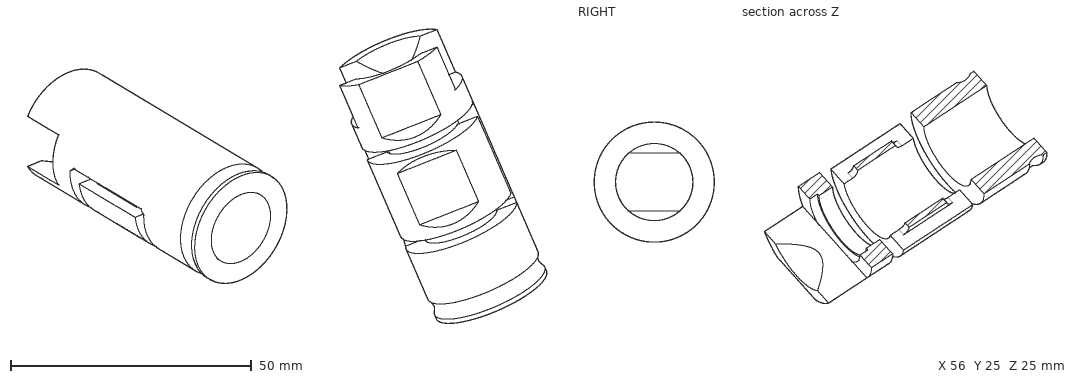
import cadquery as cq
import math

length = 56.0
outer_radius = 12.5
bore_radius = 8.0
counterbore_radius = 8.5
counterbore_depth = 2.0
overcut = 0.55

mouth_depth = 10.0
mouth_height = 12.0
taper_radius = 9.35
taper_half_angle = 30.0

groove_start = 51.4
groove_end = 55.0
groove_depth = 0.6

window_start = 15.6
window_end = 39.5
window_top = 1.4
window_corner_chamfer = 1.0
gap = 2.85
tongue_start = window_start + gap
tongue_end = window_end - gap
tongue_top = window_top - gap
web_start = 22.2
web_end = 32.15
web_half_width = 9.45

flat_level = -10.6
ramp_run = outer_radius + flat_level
front_flat_end = 12.55
tongue_flat_start = 20.95
tongue_flat_end = 33.05


def cylinder(radius, start, end):
    """Solid cylinder on the X axis."""
    return cq.Workplane("YZ", origin=(start, 0, 0)).circle(radius).extrude(end - start)


def block(start, end, width, bottom, top):
    """Block centred on Y between two X places and two Z levels."""
    return (
        cq.Workplane("XY")
        .box(end - start, width, top - bottom, centered=(False, True, False))
        .translate((start, 0, bottom))
    )


def prism(points):
    """XZ outline carried right across the sleeve."""
    return cq.Workplane("XZ").polyline(points).close().extrude(outer_radius + overcut, both=True)


def make_sleeve():
    profile = (
        cq.Workplane("XZ")
        .lineTo(0, outer_radius)
        .lineTo(groove_start, outer_radius)
        .threePointArc(
            ((groove_start + groove_end) / 2, outer_radius - groove_depth),
            (groove_end, outer_radius),
        )
        .lineTo(length, outer_radius)
        .lineTo(length, 0)
        .close()
    )
    return profile.revolve(360, (0, 0, 0), (1, 0, 0))


def make_mouth():
    slot = block(-overcut, mouth_depth, 2 * (outer_radius + overcut), -mouth_height / 2, mouth_height / 2)
    taper_length = taper_radius / math.tan(math.radians(taper_half_angle))
    taper = cq.Workplane(cq.Solid.makeCone(
        taper_radius, 0, taper_length, cq.Vector(0, 0, 0), cq.Vector(1, 0, 0)
    )).intersect(cylinder(outer_radius, 0, mouth_depth))
    return slot.union(taper)


def make_bore():
    counterbore = cylinder(counterbore_radius, mouth_depth, mouth_depth + counterbore_depth)
    return cylinder(bore_radius, mouth_depth, length + overcut).union(counterbore)


def make_window():
    below = -outer_radius - overcut
    opening = prism([
        (window_start, below),
        (window_start, window_top - window_corner_chamfer),
        (window_start + window_corner_chamfer, window_top),
        (window_end - window_corner_chamfer, window_top),
        (window_end, window_top - window_corner_chamfer),
        (window_end, below),
    ])
    full_width = 2 * (outer_radius + overcut)
    tongue = block(tongue_start, tongue_end, full_width, below, tongue_top)
    web = block(web_start - gap / 2, web_end + gap / 2, 2 * web_half_width, tongue_top, window_top)
    slot_ends = (
        cq.Workplane("XZ", origin=(0, 0, (tongue_top + window_top) / 2))
        .pushPoints([(web_start - gap / 2, 0), (web_end + gap / 2, 0)])
        .circle(gap / 2)
        .extrude(outer_radius, both=True)
    )
    return opening.cut(tongue).cut(web.cut(slot_ends))


def make_flat(start, end):
    """Underside cut whose ends ramp out to the round surface at 45 degrees."""
    ramp = ramp_run + overcut
    below = flat_level - ramp
    return prism([(start - ramp, below), (start, flat_level), (end, flat_level), (end + ramp, below)])


result = (
    make_sleeve()
    .cut(make_bore())
    .cut(make_mouth())
    .cut(make_flat(-overcut, front_flat_end))
    .cut(make_flat(tongue_flat_start, tongue_flat_end))
    .cut(make_window())
)